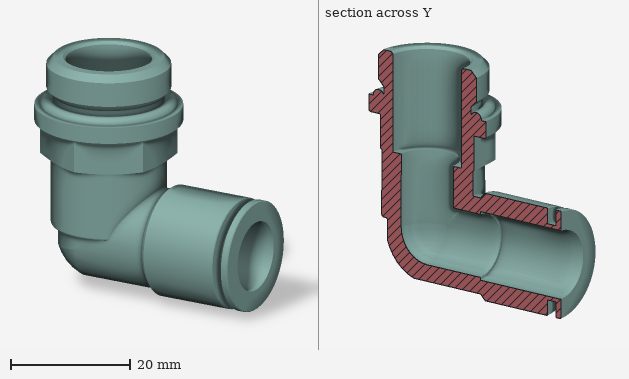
import cadquery as cq
import math


stem_top = 30.5
thread_radius = 20.95 / 2
thread_root_radius = 18.63 / 2
thread_chamfer = thread_radius - thread_root_radius
thread_end_z = 24.0
seal_outer_radius = 11.55
seal_section_radius = 1.2
flange_radius = 12.5
flange_top_z = 22.1
flange_bottom_z = 19.0
flange_chamfer = 0.3

hex_across_flats = 20.0
hex_bottom_z = 12.9
hex_chamfer_angle = 15.0
body_radius = 19.5 / 2
hex_chamfer_radius = body_radius
body_bottom_z = 1.0
body_edge_radius = 0.5
neck_fillet_radius = 0.3

pipe_radius = 17.0 / 2
corner_ball_radius = pipe_radius
corner_ball_offset = 0.37
corner_limit = 0.75

sleeve_radius = 19.0 / 2
sleeve_start_x = 11.3
sleeve_chamfer = 1.0
sleeve_end_x = 25.6
collar_neck_radius = 13.5 / 2
collar_flange_x = 27.3
collar_end_x = 28.5
rim_chamfer = 0.15

socket_radius = 14.5 / 2
socket_chamfer = 0.45
socket_floor_z = hex_bottom_z
passage_radius = 11.0 / 2
tube_radius = 12.0 / 2
tube_seat_x = sleeve_start_x


def z_cylinder(radius, bottom, top):
    return cq.Workplane("XY").workplane(offset=bottom).circle(radius).extrude(top - bottom)


def x_cylinder(radius, start, end):
    return cq.Workplane("YZ").workplane(offset=start).circle(radius).extrude(end - start)


def make_threaded_end():
    thread = z_cylinder(thread_radius, thread_end_z, stem_top).edges().chamfer(thread_chamfer)
    groove = z_cylinder(thread_root_radius, flange_top_z, thread_end_z)
    flange = z_cylinder(flange_radius, flange_bottom_z, flange_top_z)
    flange = flange.faces("<Z").edges().chamfer(flange_chamfer)
    seal_centre_radius = seal_outer_radius - seal_section_radius
    seal = (
        cq.Workplane("XZ")
        .center(seal_centre_radius, flange_top_z)
        .circle(seal_section_radius)
        .revolve(360, (-seal_centre_radius, 0, 0), (-seal_centre_radius, 1, 0))
    )
    return flange.union(groove).union(thread).union(seal)


def make_hexagon():
    """Hexagon with corners on the Y axis and its lower corners bevelled by a cone."""
    corner_radius = hex_across_flats / 2 / math.cos(math.pi / 6)
    bevel_height = (flange_radius - hex_chamfer_radius) * math.tan(math.radians(hex_chamfer_angle))
    prism = (
        cq.Workplane("XY")
        .workplane(offset=hex_bottom_z)
        .transformed(rotate=(0, 0, 90))
        .polygon(6, 2 * corner_radius)
        .extrude(flange_bottom_z - hex_bottom_z)
    )
    envelope = (
        cq.Workplane("XZ")
        .moveTo(0, hex_bottom_z)
        .lineTo(hex_chamfer_radius, hex_bottom_z)
        .lineTo(flange_radius, hex_bottom_z + bevel_height)
        .lineTo(flange_radius, flange_bottom_z)
        .lineTo(0, flange_bottom_z)
        .close()
        .revolve(360, (0, 0, 0), (0, 1, 0))
    )
    return prism.intersect(envelope)


def make_body():
    """Cylinder under the hexagon, rounded at its lower edge and filleted into the elbow pipe."""
    edge_mid = body_edge_radius * (1 - math.sqrt(0.5))
    fillet_mid = neck_fillet_radius * (1 - math.sqrt(0.5))
    neck_z = body_bottom_z - neck_fillet_radius
    return (
        cq.Workplane("XZ")
        .moveTo(0, neck_z)
        .lineTo(pipe_radius, neck_z)
        .threePointArc(
            (pipe_radius + fillet_mid, body_bottom_z - fillet_mid),
            (pipe_radius + neck_fillet_radius, body_bottom_z),
        )
        .lineTo(body_radius - body_edge_radius, body_bottom_z)
        .threePointArc(
            (body_radius - edge_mid, body_bottom_z + edge_mid),
            (body_radius, body_bottom_z + body_edge_radius),
        )
        .lineTo(body_radius, hex_bottom_z)
        .lineTo(0, hex_bottom_z)
        .close()
        .revolve(360, (0, 0, 0), (0, 1, 0))
    )


def make_elbow():
    """Two pipes mitred on the plane x = z, with the outer corner trimmed by a ball."""
    reach = 2 * pipe_radius
    mitre_half = (
        cq.Workplane("XZ")
        .polyline([(-reach, -reach), (reach, reach), (-reach, reach)])
        .close()
        .extrude(reach, both=True)
    )
    stem_pipe = z_cylinder(pipe_radius, -pipe_radius, body_bottom_z).intersect(mitre_half)
    branch_pipe = x_cylinder(pipe_radius, -pipe_radius, sleeve_start_x).cut(mitre_half)
    ball = cq.Workplane("XY").sphere(corner_ball_radius)
    ball = ball.translate((-corner_ball_offset, 0, -corner_ball_offset))
    outer_corner = (
        cq.Workplane("XZ")
        .moveTo(-corner_limit, -corner_limit)
        .rect(-reach, -reach, centered=False)
        .extrude(reach, both=True)
    )
    return stem_pipe.union(branch_pipe).cut(outer_corner.cut(ball))


def make_branch_end():
    sleeve = x_cylinder(sleeve_radius, sleeve_start_x, sleeve_end_x)
    sleeve = sleeve.faces("<X").edges().chamfer(sleeve_chamfer)
    sleeve = sleeve.faces(">X").edges().chamfer(rim_chamfer)
    collar_neck = x_cylinder(collar_neck_radius, sleeve_end_x, collar_flange_x)
    collar_flange = x_cylinder(sleeve_radius, collar_flange_x, collar_end_x)
    collar_flange = collar_flange.faces(">X").edges().chamfer(rim_chamfer)
    return sleeve.union(collar_neck).union(collar_flange)


def make_passages():
    socket = z_cylinder(socket_radius, socket_floor_z, stem_top)
    mouth = (
        cq.Workplane("XY")
        .workplane(offset=stem_top)
        .circle(socket_radius + socket_chamfer)
        .workplane(offset=-socket_chamfer)
        .circle(socket_radius)
        .loft()
    )
    stem_passage = z_cylinder(passage_radius, 0, socket_floor_z)
    bend = cq.Workplane("XY").sphere(passage_radius)
    branch_passage = x_cylinder(passage_radius, 0, tube_seat_x)
    tube_socket = x_cylinder(tube_radius, tube_seat_x, collar_end_x)
    return bend.union(stem_passage).union(branch_passage).union(socket).union(mouth).union(tube_socket)


outside = make_elbow()
for section in (make_body(), make_hexagon(), make_threaded_end(), make_branch_end()):
    outside = outside.union(section)

result = outside.cut(make_passages())